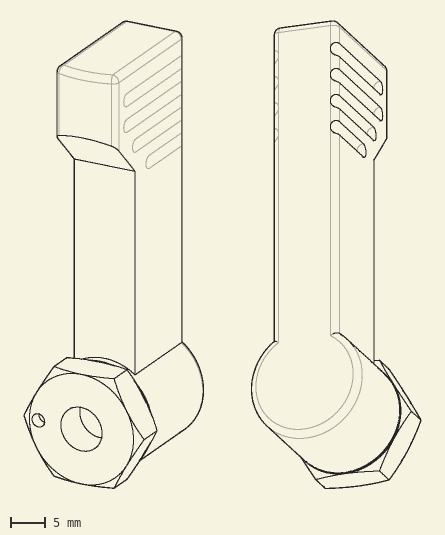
import cadquery as cq
import math


barrel_radius = 8.5
lever_width = 10.0
shank_depth = 15.0
head_depth = 21.5
barrel_length = 16.25
lever_top = 63.5 - barrel_radius
head_underside = lever_top - 16.5
crown_radius = 14.0
edge_radius = 1.0

groove_radius = 1.0
groove_pitch = 4.0
first_groove_drop = 4.6
groove_lengths = [17.4, 17.4, 14.75, 10.65]

nut_front = 22.0
nut_thickness = nut_front - barrel_length
washer_face_thickness = 0.25
washer_face_radius = 8.4
hex_back = barrel_length + washer_face_thickness
hex_thickness = nut_front - hex_back
nut_flats = 2 * barrel_radius
nut_corners = nut_flats / math.cos(math.radians(30))
chamfer_angle = 30.0
bore_diameter = 6.7
bore_depth = nut_thickness
pin_hole_diameter = 2.05
pin_hole_offset = 7.05
pin_hole_depth = 2.05


def cylinder_toward_front(radius, start, length, x=0):
    """Cylinder along -Y whose back end lies the start distance in front of the lever back."""
    return cq.Workplane("XZ", origin=(x, -start, 0)).circle(radius).extrude(length)


def make_handle():
    """Straight shank with a forward-reaching head and a crowned front face."""
    profile = (
        cq.Workplane("YZ")
        .polyline([
            (0, 0),
            (0, lever_top),
            (-head_depth, lever_top),
            (-head_depth, head_underside + head_depth - shank_depth),
            (-shank_depth, head_underside),
            (-shank_depth, 0),
        ])
        .close()
        .extrude(lever_width / 2, both=True)
    )
    crown_drop = crown_radius - math.sqrt(crown_radius**2 - (lever_width / 2) ** 2)
    side_depth = head_depth - crown_drop
    plan = (
        cq.Workplane("XY")
        .moveTo(-lever_width / 2, 0)
        .lineTo(-lever_width / 2, -side_depth)
        .threePointArc((0, -head_depth), (lever_width / 2, -side_depth))
        .lineTo(lever_width / 2, 0)
        .close()
        .extrude(lever_top)
    )
    handle = profile.intersect(plan)
    front_corners = cq.selectors.BoxSelector(
        (-lever_width, -head_depth, head_underside),
        (lever_width, -shank_depth - edge_radius, lever_top),
    )
    rounded_edges = handle.edges("|Z").edges(front_corners).add(handle.edges(">Z"))
    rounded_edges = rounded_edges.add(handle.edges("|Z and >Y"))
    return rounded_edges.fillet(edge_radius)


def make_groove(side, height, length):
    """Cutter for one round-bottomed groove with a spherical front end."""
    axis_point = (side * lever_width / 2, 0, height)
    channel = cq.Workplane("XZ", origin=axis_point).circle(groove_radius).extrude(length)
    round_end = cq.Workplane("XY").sphere(groove_radius)
    return channel.union(round_end.translate((axis_point[0], -length, height)))


def make_lever():
    barrel = cylinder_toward_front(barrel_radius, 0, barrel_length)
    barrel = barrel.faces(">Y").edges().fillet(edge_radius)
    lever = barrel.union(make_handle())
    for side in (-1, 1):
        for index, length in enumerate(groove_lengths):
            height = lever_top - first_groove_drop - index * groove_pitch
            lever = lever.cut(make_groove(side, height, length))
    return lever


def make_nut():
    """Hexagon with conical corner chamfers, a washer face, a central bore and a small pin hole."""
    hexagon = cq.Workplane("XZ", origin=(0, -hex_back, 0)).polygon(6, nut_corners)
    hexagon = hexagon.extrude(hex_thickness)
    corner_radius = nut_corners / 2
    chamfer_width = corner_radius - barrel_radius
    chamfer_depth = chamfer_width * math.tan(math.radians(chamfer_angle))
    envelope = cylinder_toward_front(corner_radius, hex_back, hex_thickness)
    envelope = envelope.faces("<Y or >Y").edges().chamfer(chamfer_depth, chamfer_width)
    bore = cylinder_toward_front(bore_diameter / 2, nut_front - bore_depth, bore_depth)
    pin_hole = cylinder_toward_front(
        pin_hole_diameter / 2, nut_front - pin_hole_depth, pin_hole_depth, -pin_hole_offset
    )
    washer_face = cylinder_toward_front(washer_face_radius, barrel_length, washer_face_thickness)
    return hexagon.intersect(envelope).union(washer_face).cut(bore).cut(pin_hole)


lever = make_lever()
nut = make_nut()

result = cq.Compound.makeCompound([lever.val(), nut.val()])